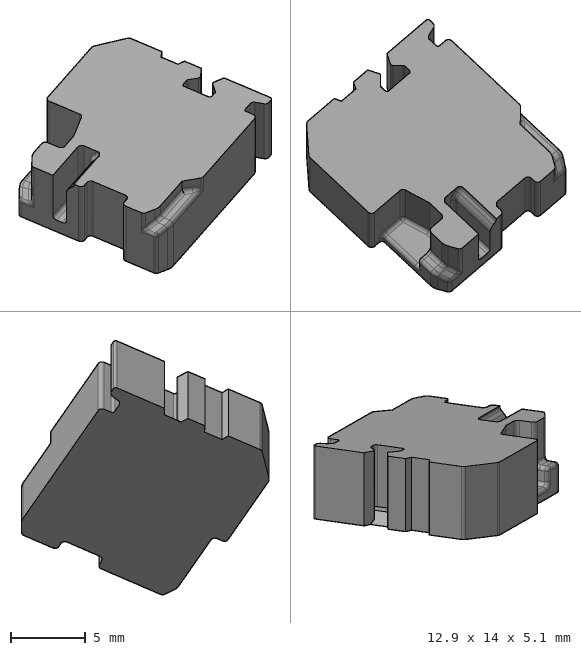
import cadquery as cq
import math

width = 12.9
depth = 14.0
height = 5.1

edge_radius = 0.3
bend_radius = 1.0
small_radius = 0.18

step = 1.0
step_y = 5.98
rear_chamfer_x = 1.67
rear_chamfer_y = 1.99

bend_y = 1.0
bend_angle = 30.0
bend_inset = bend_y * math.tan(math.radians(bend_angle))

notch_center_x = 8.09
notch_width = 3.11
notch_depth = 0.9

rear_depth = 0.48
rear_notch_left = 4.23
rear_notch_right = 5.99
rear_notch_taper = 0.21
dovetail_center_x = 8.2
dovetail_mouth = 1.78
dovetail_throat = 0.94
dovetail_throat_y = 13.17
dovetail_width = 2.23
dovetail_shoulder_y = 12.55
dovetail_floor_y = 11.9
floor_height = 0.78

hook_x = width - 1.01
hook_front_y = 12.0
hook_rear_inner_y = 13.0
hook_rear_outer_y = 13.31

pocket_front_y = 2.52
pocket_corner_x = 2.88
pocket_inner_x = 3.45
pocket_bend_y = 3.96

left_ledge_z = 2.1
right_ledge_z = 4.1
right_pocket_y = 4.03

groove_left = 4.23
groove_width = 1.05
groove_length = 3.51
groove_bottom = 1.09
groove_bend_z = 3.89
groove_lean = 45.0
groove_mouth_x = 5.87

margin = 0.7


def round_corner(solid, x, y, radius):
    """Round the full-height vertical edge nearest to (x, y)."""
    nearest = cq.selectors.NearestToPointSelector((x, y, height / 2))
    return solid.edges("|Z").edges(nearest).fillet(radius)


def round_edges(solid, points):
    """Round, in one operation, the edges nearest to the given points."""
    edges = [solid.edges(cq.selectors.NearestToPointSelector(point)).val() for point in points]
    return solid.newObject([solid.val().fillet(edge_radius, edges)])


def make_body():
    """Full-height block with all through-going outline features."""
    notch_left = notch_center_x - notch_width / 2
    notch_right = notch_center_x + notch_width / 2
    corners = [
        (0, step_y, edge_radius),
        (step, step_y, 0),
        (step, bend_y, bend_radius),
        (step + bend_inset, 0, edge_radius),
        (notch_left, 0, edge_radius),
        (notch_left, notch_depth, edge_radius),
        (notch_right, notch_depth, edge_radius),
        (notch_right, 0, edge_radius),
        (width - bend_inset, 0, edge_radius),
        (width, bend_y, bend_radius),
        (width, hook_front_y, edge_radius),
        (hook_x, hook_front_y, small_radius),
        (hook_x, hook_rear_inner_y, edge_radius),
        (width, hook_rear_outer_y, edge_radius),
        (width, depth, small_radius),
        (rear_notch_right, depth, 0),
        (rear_notch_right - rear_notch_taper, depth - rear_depth, 0),
        (rear_notch_left + rear_notch_taper, depth - rear_depth, 0),
        (rear_notch_left, depth, 0),
        (rear_chamfer_x, depth, edge_radius),
        (0, depth - rear_chamfer_y, edge_radius),
    ]
    body = cq.Workplane("XY").polyline([(x, y) for x, y, _ in corners]).close().extrude(height)
    for x, y, radius in corners:
        if radius:
            body = round_corner(body, x, y, radius)
    return body


def make_dovetail():
    """Dovetail slot whose floor ends in a 45 degree ramp at the rear."""
    half = [
        (dovetail_mouth / 2, depth),
        (dovetail_throat / 2, dovetail_throat_y),
        (dovetail_width / 2, dovetail_shoulder_y),
        (dovetail_width / 2, dovetail_floor_y),
    ]
    right = [(dovetail_center_x + x, y) for x, y in half]
    left = [(dovetail_center_x - x, y) for x, y in reversed(half)]
    slot = cq.Workplane("XY").polyline(right + left).close().extrude(height)
    for x, y in right[1:] + left[:-1]:
        slot = round_corner(slot, x, y, small_radius)
    ramp_foot_y = depth - rear_depth
    floor = (
        cq.Workplane("YZ")
        .polyline([
            (dovetail_floor_y, 0),
            (ramp_foot_y, 0),
            (ramp_foot_y - floor_height, floor_height),
            (dovetail_floor_y, floor_height),
        ])
        .close()
        .extrude(width)
    )
    return slot.cut(floor)


def make_groove():
    """Vertical groove from the front face whose right wall jogs sideways near the top."""
    right = groove_left + groove_width
    rise = (groove_mouth_x - right) / math.tan(math.radians(groove_lean))
    jog_start_z = groove_bend_z + bend_radius * math.tan(math.radians(groove_lean / 2))
    groove = (
        cq.Workplane("XZ")
        .polyline([
            (groove_left, groove_bottom),
            (right, groove_bottom),
            (right, jog_start_z),
            (groove_mouth_x, jog_start_z + rise),
            (groove_mouth_x, height + margin),
            (groove_left, height + margin),
        ])
        .close()
        .extrude(-groove_length)
    )
    middle_y = groove_length / 2
    jog_start = cq.selectors.NearestToPointSelector((right, middle_y, jog_start_z))
    groove = groove.edges("|Y").edges(jog_start).fillet(bend_radius)
    jog_end = cq.selectors.NearestToPointSelector((groove_mouth_x, middle_y, jog_start_z + rise))
    groove = groove.edges("|Y").edges(jog_end).fillet(edge_radius)
    groove = groove.faces("<Z").edges("|Y").fillet(edge_radius)
    return groove.faces(">Y").edges("not >Z").fillet(edge_radius)


def make_ledge_space(ledge_z):
    """Space above a ledge that runs level, then bends down to the front face."""
    space = (
        cq.Workplane("YZ")
        .polyline([
            (0, ledge_z - bend_inset),
            (bend_y, ledge_z),
            (step_y, ledge_z),
            (step_y, height),
            (0, height),
        ])
        .close()
        .extrude(width)
    )
    return space.edges(cq.selectors.NearestToPointSelector((width / 2, bend_y, ledge_z))).fillet(bend_radius)


def make_left_cut():
    """Left pocket together with the space above the left ledge."""
    wall_x = 2 * step
    pocket = (
        cq.Workplane("XY", origin=(0, 0, floor_height))
        .polyline([
            (0, pocket_front_y),
            (pocket_inner_x, pocket_front_y),
            (pocket_inner_x, pocket_bend_y),
            (pocket_corner_x, step_y),
            (0, step_y),
        ])
        .close()
        .extrude(height - floor_height)
    )
    ledge = (
        cq.Workplane("XY")
        .polyline([
            (0, 0),
            (wall_x + bend_inset, 0),
            (wall_x, bend_y),
            (wall_x, pocket_front_y),
            (0, pocket_front_y),
        ])
        .close()
        .extrude(height)
    )
    ledge = round_corner(ledge, wall_x, bend_y, bend_radius)
    cut = pocket.union(ledge.intersect(make_ledge_space(left_ledge_z)))
    cut = round_corner(cut, pocket_corner_x, step_y, edge_radius)
    return round_corner(cut, pocket_inner_x, pocket_front_y, edge_radius)


def make_right_cut():
    """Space above the right ledge, closed at the rear by a 45 degree wall."""
    wall_x = width - step
    ledge = (
        cq.Workplane("XY")
        .polyline([
            (width, 0),
            (wall_x - bend_inset, 0),
            (wall_x, bend_y),
            (wall_x, right_pocket_y),
            (width, right_pocket_y + step),
        ])
        .close()
        .extrude(height)
    )
    ledge = round_corner(ledge, wall_x, bend_y, bend_radius)
    return ledge.intersect(make_ledge_space(right_ledge_z))


def ledge_front_points(wall_x, end_x, ledge_z):
    """Points on the front edge of a ledge and on the front end of the wall above it."""
    return [
        ((wall_x + end_x) / 2, 0, ledge_z - bend_inset),
        (end_x, 0, (ledge_z + height) / 2),
    ]


def round_left_cut(solid):
    """Round the edges of the left pocket and left ledge."""
    wall_x = 2 * step
    ledge_x = (step + wall_x) / 2
    ledge_y = (bend_y + pocket_front_y) / 2
    wall_z = (left_ledge_z + height) / 2
    riser_z = (floor_height + left_ledge_z) / 2
    pocket_y = (pocket_front_y + pocket_bend_y) / 2
    slant_x = (pocket_inner_x + pocket_corner_x) / 2
    slant_y = (pocket_bend_y + step_y) / 2
    solid = round_edges(solid, ledge_front_points(wall_x, wall_x + bend_inset, left_ledge_z))
    return round_edges(solid, [
        (wall_x, ledge_y, left_ledge_z),
        (step, ledge_y, left_ledge_z),
        (ledge_x, pocket_front_y, left_ledge_z),
        (wall_x, pocket_front_y, wall_z),
        (step, pocket_front_y, riser_z),
        (step, slant_y, floor_height),
        (pocket_inner_x, pocket_y, floor_height),
        (slant_x, slant_y, floor_height),
        (step, step_y, floor_height / 2),
    ])


def round_right_cut(solid):
    """Round the edges of the right ledge."""
    wall_x = width - step
    ledge_y = (bend_y + right_pocket_y) / 2
    wall_z = (right_ledge_z + height) / 2
    back_x = width - step / 2
    back_y = right_pocket_y + step / 2
    outer_points = [
        (width, right_pocket_y + step, wall_z),
        (width, ledge_y, right_ledge_z),
    ]
    foot_points = [
        (wall_x, ledge_y, right_ledge_z),
        (back_x, back_y, right_ledge_z),
    ]
    front_points = ledge_front_points(wall_x, wall_x - bend_inset, right_ledge_z)
    return round_edges(round_edges(solid, front_points + outer_points), foot_points)


result = make_body().cut(make_dovetail()).cut(make_groove())
result = round_left_cut(result.cut(make_left_cut()))
result = round_right_cut(result.cut(make_right_cut()))